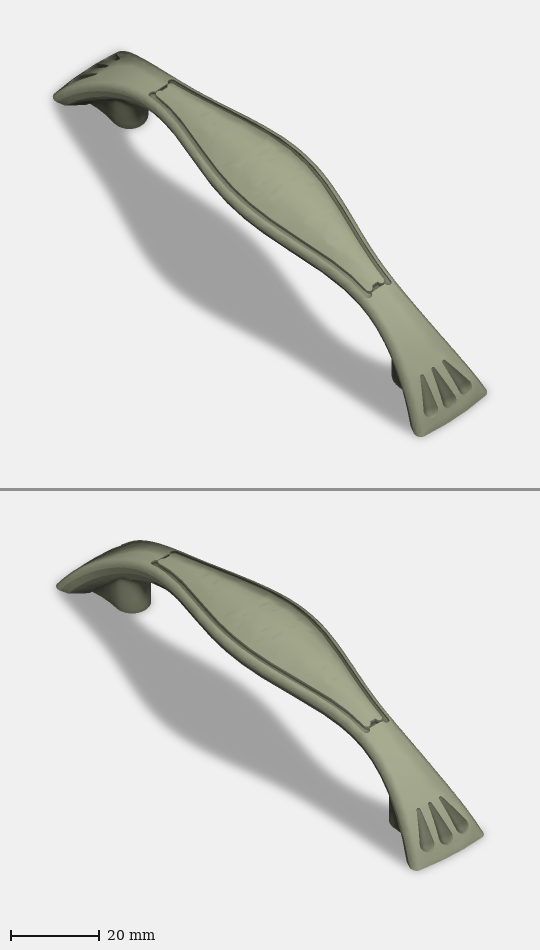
import cadquery as cq
import math


length = 130.0
width = 22.0
height = 27.0
thickness = 5.8
section_count = 21

dome_rise = 2.6
crown_overhang = 0.48
bow_top = height - dome_rise
bow_half = [
    (length / 2 - crown_overhang, 0.0),
    (59.4, 6.6),
    (51.7, 13.4),
    (42.4, 18.7),
    (31.2, 21.8),
    (16.2, 23.7),
]
tail_x, tail_z = 68.9, -5.2

waist_x = 39.0
waist_half_width = 5.1
middle_half_width = width / 2
flare_radius = 58.5

rim_inset = 1.5
rim_bend = 0.3
rim_drop = 1.8
lip_drop = 3.5
lip_inset = 0.5
bottom_ratio = 0.6
crown_ratio = 0.05

panel_end = 36.5
panel_inset = 2.6
groove_width = 1.2
groove_depth = 0.6
groove_clearance = 2.6
ear_length = 0.8
ear_width = 1.7
panel_first = 0.22
dome_margin = 0.5
outline_step = 5.2
cutter_height = 52.0

foot_x = 49.0
foot_radius = 4.3
flank_x = 58.5
flank_half_width = 5.2

drop_big_radius = 1.8
drop_small_radius = 0.5
outer_bottom_z, outer_bottom_y = 3.6, 5.1
centre_bottom_z = 3.2
drop_top_z, outer_top_y = 9.2, 3.2
drop_lift = 0.4


def half_width(x):
    """Half width of the bar in plan."""
    x = abs(x)
    if x < waist_x:
        swing = (middle_half_width - waist_half_width) / 2
        return waist_half_width + swing * (1 + math.cos(math.pi * x / waist_x))
    return waist_half_width + (x - waist_x) ** 2 / (2 * flare_radius)


right_half = [(tail_x, tail_z)] + bow_half
left_half = [(-x, z) for x, z in right_half]
bow_points = left_half + [(0, bow_top)] + right_half[::-1]
bow = cq.Edge.makeSpline([cq.Vector(x, 0, z) for x, z in bow_points])


def section_plane(station):
    """Plane square to the bow: local x is Y, local y is the outward normal."""
    return cq.Plane(bow.positionAt(station), (0, 1, 0), bow.tangentAt(station))


def loft_sections(draw_section, first=0.0, last=1.0):
    """Smooth solid through one section at each station of the bow."""
    wires = []
    for i in range(section_count):
        plane = section_plane(first + (last - first) * i / (section_count - 1))
        wires.append(draw_section(cq.Workplane(plane), plane.origin.x).val())
    return cq.Workplane(cq.Solid.makeLoft(wires))


def bar_section(plane, x):
    """Crowned top, rounded rim and lip, tapering to a flat bottom."""
    w = half_width(x)
    flat = w - rim_inset
    bottom = w * bottom_ratio
    bend = (w - rim_bend * rim_inset, -rim_bend * rim_drop)
    return (
        plane.moveTo(-flat, 0)
        .threePointArc((0, crown_ratio * w), (flat, 0))
        .threePointArc(bend, (w, -rim_drop))
        .lineTo(w - lip_inset, -lip_drop)
        .lineTo(bottom, -thickness)
        .lineTo(-bottom, -thickness)
        .lineTo(lip_inset - w, -lip_drop)
        .lineTo(-w, -rim_drop)
        .threePointArc((-bend[0], bend[1]), (-flat, 0))
        .close()
    )


def dome_section(plane, x):
    """Arched panel section, flattening toward the waist and sunk into the bar."""
    a = half_width(x) - panel_inset + dome_margin
    end_rise = crown_ratio * waist_half_width
    rise = end_rise + (dome_rise - end_rise) * math.cos(math.pi * x / (2 * waist_x))
    return (
        plane.moveTo(-a, 0).threePointArc((0, rise), (a, 0))
        .lineTo(a, -thickness / 2).lineTo(-a, -thickness / 2).close()
    )


def groove_section(plane, x):
    """Layer from the groove floor to clear above the bar."""
    w = half_width(x)
    return (
        plane.moveTo(-w, -groove_depth).lineTo(w, -groove_depth)
        .lineTo(w, groove_clearance).lineTo(-w, groove_clearance).close()
    )


def panel_prism(inset, end):
    """Upright prism over the panel: wavy sides, with an ear at each corner of both ends."""
    steps = int(end // outline_step)
    xs = [i * outline_step for i in range(-steps, steps + 1)]
    xs = [-end] + xs + [end]
    side = [(x, half_width(x) - inset) for x in xs]
    corner = side[-1][1]
    ear_tip, ear_foot = corner - ear_width / 2, corner - ear_width
    return (
        cq.Workplane("XY").moveTo(*side[0]).spline(side[1:], includeCurrent=True)
        .threePointArc((end + ear_length, ear_tip), (end, ear_foot))
        .lineTo(end, -ear_foot)
        .threePointArc((end + ear_length, -ear_tip), (end, -corner))
        .spline([(x, -y) for x, y in side[-2::-1]], includeCurrent=True)
        .threePointArc((-end - ear_length, -ear_tip), (-end, -ear_foot))
        .lineTo(-end, ear_foot)
        .threePointArc((-end - ear_length, ear_tip), (-end, corner))
        .close().extrude(cutter_height)
    )


def foot():
    """Round-nosed foot whose flanks flare outward under the bar end (+X end)."""
    mid_x = (foot_x + flank_x) / 2
    column = (
        cq.Workplane("XY").moveTo(foot_x, foot_radius)
        .threePointArc((foot_x - foot_radius, 0), (foot_x, -foot_radius))
        .threePointArc((mid_x, -foot_radius), (flank_x, -flank_half_width))
        .lineTo(flank_x, flank_half_width)
        .threePointArc((mid_x, foot_radius), (foot_x, foot_radius))
        .close().extrude(height)
    )
    under_bow = (
        cq.Workplane("XZ").moveTo(*bow_points[0]).spline(bow_points[1:], includeCurrent=True).close()
        .extrude(middle_half_width, both=True)
        .translate((0, 0, -thickness / 2))
    )
    return column.intersect(under_bow)


def bow_x(z):
    """X of the bow at height z near the +X end, on the chord between two bow points."""
    knee_z = bow_half[1][1]
    (x0, z0), (x1, z1) = bow_half[:2] if z < knee_z else bow_half[1:3]
    return x0 + (x1 - x0) * (z - z0) / (z1 - z0)


def teardrop(y_bottom, z_bottom, y_top):
    """Tapered round-ended cutter lying along the top face at the +X end."""
    low = cq.Vector(bow_x(z_bottom) + drop_lift, y_bottom, z_bottom + drop_lift)
    high = cq.Vector(bow_x(drop_top_z) + drop_lift, y_top, drop_top_z + drop_lift)
    axis = high - low
    lean = (drop_big_radius - drop_small_radius) / axis.Length
    shrink = math.sqrt(1 - lean ** 2)
    shift = axis.normalized() * lean
    cone_low = low + shift * drop_big_radius
    cone_high = high + shift * drop_small_radius
    cone = cq.Solid.makeCone(
        drop_big_radius * shrink, drop_small_radius * shrink, (cone_high - cone_low).Length, cone_low, axis
    )
    balls = [
        cq.Workplane("XY").sphere(radius).translate(centre)
        for centre, radius in ((low, drop_big_radius), (high, drop_small_radius))
    ]
    return cq.Workplane(cone).union(balls[0]).union(balls[1])


def both_ends(body):
    """The body together with its mirror image at the -X end."""
    return body, body.mirror("YZ")


handle = loft_sections(bar_section)
groove_layer = loft_sections(groove_section, panel_first, 1 - panel_first)
groove = groove_layer.intersect(panel_prism(panel_inset - groove_width, panel_end + groove_width))
handle = handle.cut(groove)
dome = loft_sections(dome_section, panel_first, 1 - panel_first)
handle = handle.union(dome.intersect(panel_prism(panel_inset, panel_end)))

for end_foot in both_ends(foot()):
    handle = handle.union(end_foot)

for fan in (-1, 0, 1):
    bottom_z = outer_bottom_z if fan else centre_bottom_z
    for pocket in both_ends(teardrop(fan * outer_bottom_y, bottom_z, fan * outer_top_y)):
        handle = handle.cut(pocket)

above_base = cq.Workplane("XY").box(2 * length, length, length, centered=(True, True, False))
result = handle.intersect(above_base)